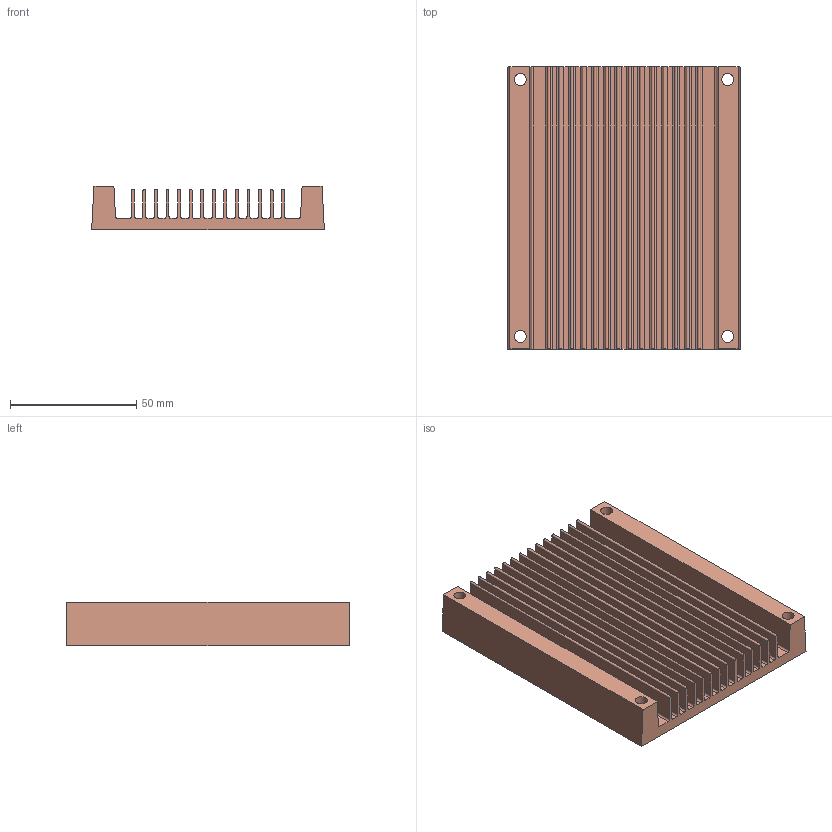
import cadquery as cq
import math

WIDTH = 92.0
LENGTH = 111.51
HEIGHT = 17.37

FLOOR_HEIGHT = 4.6
WALL_DRAFT_ANGLE = 3.0
WALL_TOP_WIDTH = 7.9
WALL_ROOT_RADIUS = 0.7

FIN_COUNT = 14
FIN_PITCH = 4.572
FIN_THICKNESS = 1.16
FIN_TOP_HEIGHT = 16.1
FIN_ROOT_RADIUS = 0.79

HOLE_DIAMETER = 4.78
HOLE_EDGE_DISTANCE = 5.0

HALF_WIDTH = WIDTH / 2
DRAFT_SLOPE = math.tan(math.radians(WALL_DRAFT_ANGLE))
WALL_TOP_OUTER_X = HALF_WIDTH - HEIGHT * DRAFT_SLOPE
WALL_TOP_INNER_X = WALL_TOP_OUTER_X - WALL_TOP_WIDTH
WALL_ROOT_INNER_X = WALL_TOP_INNER_X - (HEIGHT - FLOOR_HEIGHT) * DRAFT_SLOPE


def extrude_along_length(profile):
    """Extrude a closed XZ profile over the full length, centred on Y = 0."""
    return profile.extrude(LENGTH / 2, both=True)


def make_channel():
    """Flat base with a drafted wall along each side."""
    profile = (
        cq.Workplane("XZ")
        .moveTo(-HALF_WIDTH, 0)
        .lineTo(HALF_WIDTH, 0)
        .lineTo(WALL_TOP_OUTER_X, HEIGHT)
        .lineTo(WALL_TOP_INNER_X, HEIGHT)
        .lineTo(WALL_ROOT_INNER_X, FLOOR_HEIGHT)
        .lineTo(-WALL_ROOT_INNER_X, FLOOR_HEIGHT)
        .lineTo(-WALL_TOP_INNER_X, HEIGHT)
        .lineTo(-WALL_TOP_OUTER_X, HEIGHT)
        .close()
    )
    channel = extrude_along_length(profile)
    for side in (-1, 1):
        root_point = (side * WALL_ROOT_INNER_X, 0, FLOOR_HEIGHT)
        root_edge = cq.selectors.NearestToPointSelector(root_point)
        channel = channel.edges("|Y").edges(root_edge).fillet(WALL_ROOT_RADIUS)
    return channel


def make_fin(center_x):
    """Thin fin with a rounded tip and concave fillets where it meets the floor."""
    half = FIN_THICKNESS / 2
    shoulder_height = FIN_TOP_HEIGHT - half
    foot = half + FIN_ROOT_RADIUS
    root_top = FLOOR_HEIGHT + FIN_ROOT_RADIUS
    root_sag = FIN_ROOT_RADIUS * (1 - math.sqrt(0.5))
    root_mid_height = FLOOR_HEIGHT + root_sag
    profile = (
        cq.Workplane("XZ", origin=(center_x, 0, 0))
        .moveTo(-foot, 0)
        .lineTo(foot, 0)
        .lineTo(foot, FLOOR_HEIGHT)
        .threePointArc((half + root_sag, root_mid_height), (half, root_top))
        .lineTo(half, shoulder_height)
        .threePointArc((0, FIN_TOP_HEIGHT), (-half, shoulder_height))
        .lineTo(-half, root_top)
        .threePointArc((-half - root_sag, root_mid_height), (-foot, FLOOR_HEIGHT))
        .close()
    )
    return extrude_along_length(profile)


def make_mounting_holes():
    """Cylinders for the four through holes at the corners, one pair in each wall."""
    return (
        cq.Workplane("XY")
        .rect(WIDTH - 2 * HOLE_EDGE_DISTANCE, LENGTH - 2 * HOLE_EDGE_DISTANCE, forConstruction=True)
        .vertices()
        .circle(HOLE_DIAMETER / 2)
        .extrude(HEIGHT)
    )


heat_sink = make_channel()
for index in range(FIN_COUNT):
    fin_x = (index - (FIN_COUNT - 1) / 2) * FIN_PITCH
    heat_sink = heat_sink.union(make_fin(fin_x))

result = heat_sink.cut(make_mounting_holes()).clean()